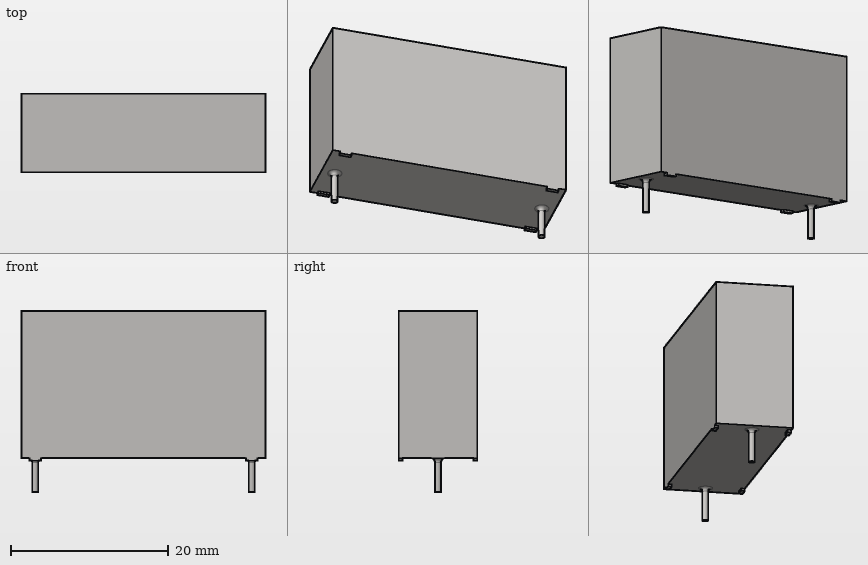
import cadquery as cq

body_length = 31.0
body_width = 10.0
overall_top = 19.0

foot_height = 0.3
foot_length = 1.5
foot_width = 0.5
foot_end_inset = 1.0

lead_pitch = 27.5
lead_diameter = 0.8
lead_projection = 4.0
collar_radius = 0.5

body_height = overall_top - foot_height
lead_radius = lead_diameter / 2
lead_length = lead_projection + foot_height
foot_center_x = body_length / 2 - foot_end_inset - foot_length / 2
foot_center_y = (body_width - foot_width) / 2


def make_body():
    """Plain rectangular case, resting on top of the feet."""
    return (
        cq.Workplane("XY")
        .workplane(offset=foot_height)
        .rect(body_length, body_width)
        .extrude(body_height)
    )


def make_feet():
    """Four small blocks, flush with the long sides of the case."""
    foot_centers = [(sx * foot_center_x, sy * foot_center_y) for sx in (-1, 1) for sy in (-1, 1)]
    return (
        cq.Workplane("XY")
        .pushPoints(foot_centers)
        .rect(foot_length, foot_width)
        .extrude(foot_height)
    )


def make_lead(center_x):
    """Lead and collar, revolved together; the collar arc is tangent to the lead and to the case."""
    arc_center = (lead_radius + collar_radius, -collar_radius)
    diagonal = collar_radius / 2**0.5
    arc_middle = (arc_center[0] - diagonal, arc_center[1] + diagonal)
    return (
        cq.Workplane("XZ")
        .moveTo(0, 0)
        .lineTo(lead_radius + collar_radius, 0)
        .threePointArc(arc_middle, (lead_radius, -collar_radius))
        .lineTo(lead_radius, -lead_length)
        .lineTo(0, -lead_length)
        .close()
        .revolve(360, (0, 0, 0), (0, 1, 0))
        .translate((center_x, 0, foot_height))
    )


result = make_body().union(make_feet())
for side in (-1, 1):
    result = result.union(make_lead(side * lead_pitch / 2))